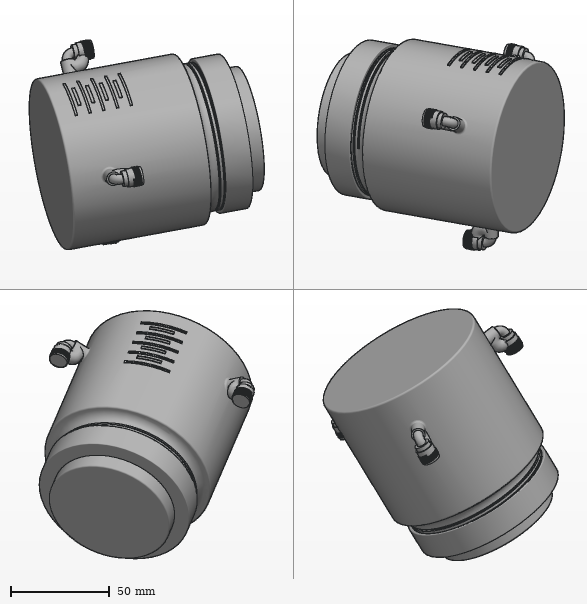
import cadquery as cq
import math

jar_radius = 44.0
neck_radius = 38.0
shoulder_y = 72.2
rim_fillet = 1.0
neck_blend_radius = jar_radius - rim_fillet - neck_radius

cap_radius = 39.8
cap_bottom_y = 81.0
cap_top_y = 95.0
cap_web = 3.0
cap_fillet = 0.4
insert_radius = 32.0
insert_top_y = 103.21
insert_fillet = 0.8
neck_top_y = cap_top_y - cap_web

neck_thread_pitch = 2.5
neck_thread_start_y = 77.0
neck_thread_mouth = 1.1
neck_thread_root = 0.5
neck_thread_depth = 0.7

mark_height = 0.5
mark_spacing = 7.2
first_long_mark_y = 10.0
long_mark_count = 5
long_mark_length = 24.0
long_mark_width = 1.2
first_short_mark_y = 13.2
short_mark_count = 4
short_mark_length = 12.8
short_mark_width = 1.6

port_turns = (90, -30, -150)
port_y = 20.5
stub_embed = 4.0
stub_radius = 3.5
stub_fillet = 1.0
connector_distance = 55.8
bend_radius = 3.75
elbow_radius = 2.5
stub_end = connector_distance - bend_radius
stub_inner_end = jar_radius - stub_embed
collar_radius = 4.0
barrel_radius = 4.65
collar_start_y = port_y + bend_radius
barrel_start_y = 26.5
connector_end_y = 34.3
port_thread_pitch = 1.2
port_thread_turns = 3.5
port_thread_start_y = 29.4
port_thread_height = 0.35
port_thread_base = 0.9
port_thread_crest = 0.3

thread_overlap = 0.15


def turned(shape, angle):
    """Turn a shape about the jar axis; 90 degrees takes +X to -Z."""
    return shape.rotate((0, 0, 0), (0, 1, 0), angle)


def cylinder_y(radius, bottom_y, top_y):
    """Cylinder on the Y axis between two heights."""
    return cq.Workplane("XZ", origin=(0, bottom_y, 0)).circle(radius).extrude(bottom_y - top_y)


def helical_bar(pitch, height, start_radius, start_width, end_radius, end_width):
    """Right-handed helical bar about Y from y = 0, its section tapering between two radii."""
    path = cq.Workplane(obj=cq.Wire.makeHelix(pitch, height, start_radius))
    section = cq.Workplane("XZ").polyline([
        (start_radius, -start_width / 2),
        (end_radius, -end_width / 2),
        (end_radius, end_width / 2),
        (start_radius, start_width / 2),
    ]).close()
    return section.sweep(path, isFrenet=True).rotate((0, 0, 0), (1, 0, 0), -90)


def make_jar_blank():
    """Solid jar with rounded rims and a concave blend from shoulder to neck."""
    rim_start = jar_radius - rim_fillet
    rim_bulge = rim_fillet * (1 - math.sqrt(0.5))
    blend_end_y = shoulder_y + neck_blend_radius
    blend_bulge = neck_blend_radius * (1 - math.sqrt(0.5))
    profile = (
        cq.Workplane("XY")
        .lineTo(rim_start, 0)
        .threePointArc((jar_radius - rim_bulge, rim_bulge), (jar_radius, rim_fillet))
        .lineTo(jar_radius, shoulder_y - rim_fillet)
        .threePointArc((jar_radius - rim_bulge, shoulder_y - rim_bulge), (rim_start, shoulder_y))
        .threePointArc((neck_radius + blend_bulge, shoulder_y + blend_bulge), (neck_radius, blend_end_y))
        .lineTo(neck_radius, neck_top_y)
        .lineTo(0, neck_top_y)
        .close()
    )
    return turned(profile.revolve(360, (0, 0, 0), (0, 1, 0)), -90)


def make_neck_groove():
    height = neck_top_y - neck_thread_start_y + neck_thread_pitch
    groove = helical_bar(
        neck_thread_pitch,
        height,
        neck_radius - neck_thread_depth,
        neck_thread_root,
        neck_radius + thread_overlap,
        neck_thread_mouth,
    )
    return turned(groove, 180).translate((0, neck_thread_start_y, 0))


def make_mark(center_y, length, width):
    """Curved bar standing proud of the jar wall."""
    bottom_y = center_y - width / 2
    top_y = center_y + width / 2
    bar = cylinder_y(jar_radius + mark_height, bottom_y, top_y)
    bar = bar.cut(cylinder_y(jar_radius - mark_height, bottom_y, top_y))
    upper_side = cq.Workplane("XY").rect(length, 2 * top_y).extrude(2 * jar_radius)
    return bar.intersect(upper_side)


def add_stub(jar, angle):
    """Join one radial stub to the jar and round its root."""
    stub = cq.Workplane("YZ", origin=(stub_inner_end, port_y, 0))
    stub = stub.circle(stub_radius).extrude(stub_end - stub_inner_end)
    joined = turned(jar, -angle).union(stub)
    root = cq.selectors.BoxSelector(
        (stub_inner_end, port_y - stub_radius, -stub_radius),
        (jar_radius + stub_fillet, port_y + stub_radius, stub_radius),
    )
    return turned(joined.edges(root).fillet(stub_fillet), angle)


def make_connector():
    collar = cylinder_y(collar_radius, collar_start_y, barrel_start_y)
    barrel = cylinder_y(barrel_radius, barrel_start_y, connector_end_y)
    ridge = helical_bar(
        port_thread_pitch,
        port_thread_pitch * port_thread_turns,
        barrel_radius - thread_overlap,
        port_thread_base,
        barrel_radius + port_thread_height,
        port_thread_crest,
    ).translate((0, port_thread_start_y, 0))
    return collar.union(barrel).union(ridge).translate((connector_distance, 0, 0))


def make_port_fitting():
    """Thin elbow from stub to connector, and the thick return loop of one port, with its connector."""
    stub_face = cq.Workplane("YZ", origin=(stub_end, port_y, 0))
    axis_start = (bend_radius, 0, 0)
    axis_end = (bend_radius, 1, 0)
    elbow = stub_face.circle(elbow_radius).revolve(90, axis_start, axis_end)
    loop = stub_face.circle(stub_radius).revolve(270, axis_end, axis_start)
    return loop.union(make_connector()).union(elbow)


def make_jar():
    jar = make_jar_blank()
    for angle in port_turns:
        jar = add_stub(jar, angle)
    jar = jar.cut(make_neck_groove())
    for index in range(long_mark_count):
        center_y = first_long_mark_y + index * mark_spacing
        jar = jar.union(make_mark(center_y, long_mark_length, long_mark_width))
    for index in range(short_mark_count):
        center_y = first_short_mark_y + index * mark_spacing
        jar = jar.union(make_mark(center_y, short_mark_length, short_mark_width))
    fitting = make_port_fitting()
    for angle in port_turns:
        jar = jar.union(turned(fitting, angle))
    return jar


def make_cap():
    cap = cylinder_y(cap_radius, cap_bottom_y, cap_top_y).edges().fillet(cap_fillet)
    cap = cap.cut(cylinder_y(neck_radius, cap_bottom_y, neck_top_y))
    return cap.cut(cylinder_y(insert_radius, neck_top_y, cap_top_y))


def make_insert():
    insert = cylinder_y(insert_radius, neck_top_y, insert_top_y)
    return insert.faces(">Y").edges().fillet(insert_fillet)


jar = make_jar()
cap = make_cap()
insert = make_insert()
result = cq.Compound.makeCompound([jar.solids().val(), cap.solids().val(), insert.solids().val()])